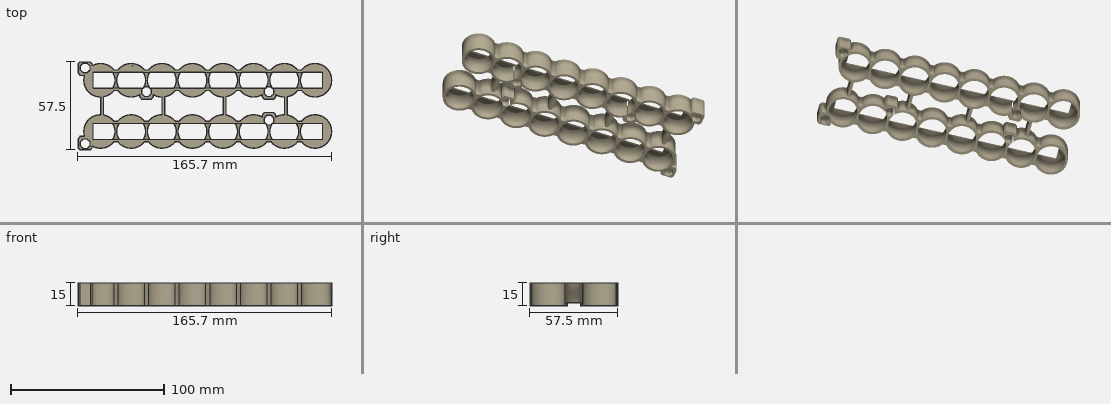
import cadquery as cq
import math

length = 165.7
width = 57.5
height = 15.0

cells_per_row = 8
sleeve_diameter = 22.0
bore_diameter = 18.7
row_centre_span = 140.0
row_offset = 16.7
web_width = 13.6

lip_thickness = 1.5
slot_width = 10.5
slot_overhang = 4.8

screw_hole_sides = 8
screw_hole_width = 6.1
boss_width = 9.1
boss_outer_reach = 4.0
boss_inner_reach = 5.0
outer_chamfer = 1.2
inner_chamfer_x = 1.3
inner_chamfer_y = 1.8
inner_screw_offset = 7.5
left_inner_cell = 1
right_inner_cell = 5

rib_thickness = 2.0
rib_clearance = 2.0
rib_spacing_in_cells = 2

pitch = row_centre_span / (cells_per_row - 1)
last_cell_x = length / 2 - sleeve_diameter / 2
first_cell_x = last_cell_x - row_centre_span
row_mid_x = (first_cell_x + last_cell_x) / 2
cell_xs = [first_cell_x + i * pitch for i in range(cells_per_row)]

corner_screw = (-length / 2 + boss_width / 2, width / 2 - boss_outer_reach)
inner_screw_y = row_offset - inner_screw_offset
left_inner_screw = (cell_xs[left_inner_cell] + pitch / 2, inner_screw_y)
right_inner_screw = (cell_xs[right_inner_cell] + pitch / 2, inner_screw_y)


def boss(screw):
    """Block around a screw axis, with its four upright edges chamfered."""
    half = boss_width / 2
    right_side = [
        (half - inner_chamfer_x, -boss_inner_reach),
        (half, -boss_inner_reach + inner_chamfer_y),
        (half, boss_outer_reach - outer_chamfer),
        (half - outer_chamfer, boss_outer_reach),
    ]
    left_side = [(-x, y) for x, y in reversed(right_side)]
    profile = cq.Workplane("XY").polyline(right_side + left_side).close()
    return profile.extrude(height).translate((screw[0], screw[1], 0))


def screw_hole(screw):
    """Eight-sided through hole with flats square to X and Y."""
    half_side_angle = 180 / screw_hole_sides
    across_corners = screw_hole_width / math.cos(math.radians(half_side_angle))
    hole = cq.Workplane("XY").polygon(screw_hole_sides, across_corners).extrude(height)
    hole = hole.rotate((0, 0, 0), (0, 0, 1), half_side_angle)
    return hole.translate((screw[0], screw[1], 0))


def cell_row(screws):
    """Row of sleeves on the +Y side, with the given screw bosses."""
    axes = [(x, row_offset) for x in cell_xs]
    row = cq.Workplane("XY").center(row_mid_x, row_offset)
    row = row.rect(row_centre_span, web_width).extrude(height)
    for axis in axes:
        sleeve = cq.Workplane("XY").center(*axis).circle(sleeve_diameter / 2)
        row = row.union(sleeve.extrude(height))
    for screw in screws:
        row = row.union(boss(screw))

    bores = cq.Workplane("XY").pushPoints(axes).circle(bore_diameter / 2)
    slot = cq.Workplane("XY", origin=(row_mid_x, row_offset, height - lip_thickness))
    slot = slot.rect(row_centre_span + 2 * slot_overhang, slot_width).extrude(lip_thickness)
    row = row.cut(bores.extrude(height - lip_thickness))
    row = row.cut(slot)
    for screw in screws:
        row = row.cut(screw_hole(screw))
    return row


def rib(cell_x):
    """Upright wall from row to row, with one face on the cell axis."""
    sleeve_reach = (sleeve_diameter + bore_diameter) / 4
    rib_length = 2 * (row_offset - sleeve_reach)
    rib_height = height - rib_clearance
    wall = cq.Workplane("XY").box(rib_thickness, rib_length, rib_height, centered=(False, True, False))
    return wall.translate((cell_x, 0, rib_clearance))


back_row = cell_row([corner_screw, left_inner_screw, right_inner_screw])
front_row = cell_row([corner_screw, right_inner_screw]).mirror("XZ")

result = back_row.union(front_row)
for x in cell_xs[::rib_spacing_in_cells]:
    result = result.union(rib(x))